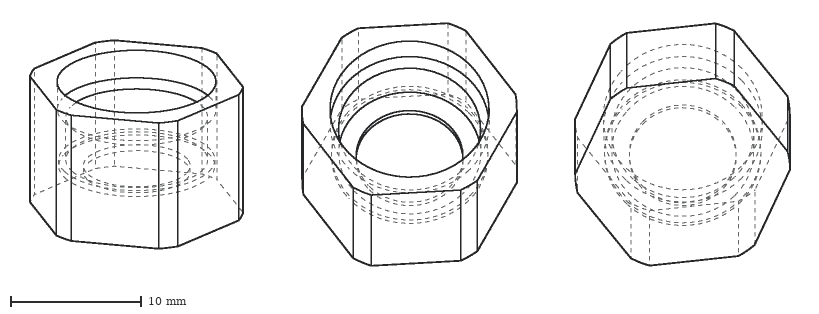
import cadquery as cq
import math

ACROSS_FLATS = 15.0
CORNER_DIAMETER = 16.5
HEIGHT = 10.5
HEX_SIDES = 6
HALF_SIDE_ANGLE = 180.0 / HEX_SIDES

MOUTH_RADIUS = 6.1
BORE_RADIUS = 5.45
RELIEF_RADIUS = 6.0
RECESS_RADIUS = 4.1
MOUTH_DEPTH = 2.3
BORE_DEPTH = 7.0
RELIEF_HEIGHT = 0.5
RECESS_DEPTH = 0.5

FLOOR_Z = HEIGHT - BORE_DEPTH
RELIEF_TOP_Z = FLOOR_Z + RELIEF_HEIGHT
CONE_TOP_Z = HEIGHT - MOUTH_DEPTH
CONE_BOTTOM_Z = CONE_TOP_Z - (MOUTH_RADIUS - BORE_RADIUS)
RECESS_Z = FLOOR_Z - RECESS_DEPTH


def hex_body():
    """Hexagonal prism with two flats facing +Y and -Y and its corners turned round."""
    angle = math.radians(HALF_SIDE_ANGLE)
    across_corners = ACROSS_FLATS / math.cos(angle)
    prism = cq.Workplane("XY").polygon(HEX_SIDES, across_corners).extrude(HEIGHT)
    turned_blank = cq.Workplane("XY").circle(CORNER_DIAMETER / 2).extrude(HEIGHT)
    return prism.intersect(turned_blank)


def stepped_bore():
    """Revolved cutter: mouth, cone, bore, relief groove and floor recess."""
    profile = [
        (0, RECESS_Z),
        (RECESS_RADIUS, RECESS_Z),
        (RECESS_RADIUS, FLOOR_Z),
        (RELIEF_RADIUS, FLOOR_Z),
        (RELIEF_RADIUS, RELIEF_TOP_Z),
        (BORE_RADIUS, RELIEF_TOP_Z),
        (BORE_RADIUS, CONE_BOTTOM_Z),
        (MOUTH_RADIUS, CONE_TOP_Z),
        (MOUTH_RADIUS, HEIGHT),
        (0, HEIGHT),
    ]
    return cq.Workplane("XZ").polyline(profile).close().revolve(360, (0, 0), (0, 1))


result = hex_body().cut(stepped_bore())